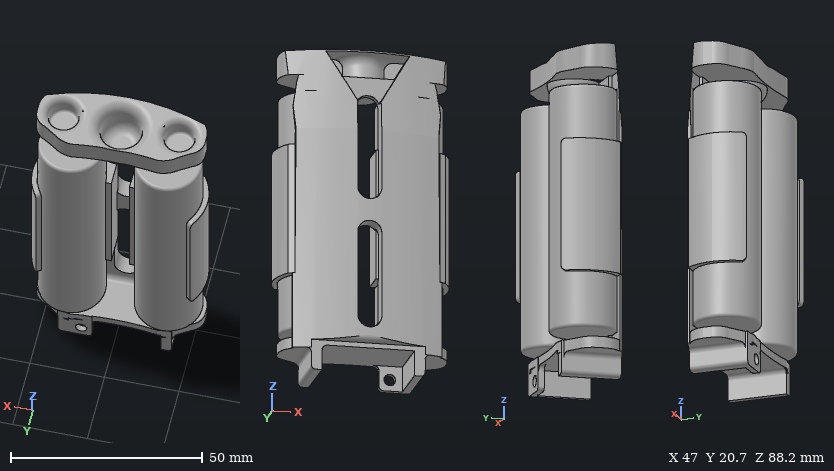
import cadquery as cq
import math

height = 88.2
front_y = -11.7
front_radius = 61.7
lean_angle = 4.6
lean_start_z = 65.9
lean_slope = math.tan(math.radians(lean_angle))
top_front_y = front_y + (height - lean_start_z) * lean_slope
far = 132.2

battery_diameter = 18.0
battery_length = 65.0
battery_edge_radius = 0.9
battery_x = 13.0
battery_radius = battery_diameter / 2
battery_bottom_z = (height - battery_length) / 2

plate_edge_y = -7.8
web_y = -6.9
web_fillet = 1.8
plate_bottom_z = 8.1
plate_bottom_radius = 1.6
plate_flare_z = 72.3
plate_foot_half_width = 20.0
plate_lower_half_width = 19.4
plate_waist_half_width = 19.1
plate_flare_half_width = 19.75
plate_top_half_width = 18.4

slot_width = 6.35
slot_length = 29.1
slot_spacing = 35.1

cradle_height = 35.3
cradle_bottom_z = (height - cradle_height) / 2
cradle_half_width = 23.495
cradle_bend_radius = 14.1
cradle_wall = cradle_half_width - battery_x - battery_radius
arm_tip_y = 8.5
arm_tip_inner_y = 7.6
arm_corner_radius = 1.3
cradle_gap = 2 * (battery_x - battery_radius - cradle_wall)

end_half_width = 22.6
end_corner_y = -2.9
end_side_back_y = -0.4
end_hollow_y = 6.3
end_lobe_x = 11.55
end_lobe_y = 7.05
end_hollow_radius = 84.5
cap_bottom_z = 81.0
base_bottom_z = 6.0
base_top_z = 9.0
base_front_y = -9.7
base_relief = 0.8

cup_y = -0.84
main_cup_diameter = 11.0
main_cup_depth = 9.35
main_cup_mouth_radius = 3.1
main_cup_floor_radius = 2.9
main_boss_diameter = 14.1
main_boss_floor = 1.0
cup_wall = 0.5
side_cup_x = 15.5
side_cup_y = -1.4
side_cup_diameter = 8.0
side_cup_depth = 5.1
side_cup_mouth_radius = 2.07
side_cup_floor_radius = 0.8

leg_outer_x = 15.25
leg_inner_x = 12.3
leg_back_y = 6.7
leg_corner_radius = 1.15
leg_root_radius = 1.4
tab_inner_x = 6.1
tab_thickness = 1.8
tab_hole_diameter = 3.0
tab_hole_x = 9.0
tab_hole_z = 3.1

window_top_half_width = 11.55
window_bottom_half_width = 3.2
window_bottom_z = 74.05
window_back_y = -3.5


def make_battery(x):
    """A plain cylindrical cell with rounded ends."""
    cell = cq.Workplane("XY", origin=(x, 0, battery_bottom_z)).circle(battery_radius)
    return cell.extrude(battery_length).edges().fillet(battery_edge_radius)


def box(x_min, x_max, y_min, y_max, z_min, z_max):
    """A box given by its limits along each axis."""
    size = (x_max - x_min, y_max - y_min, z_max - z_min)
    return cq.Workplane("XY").box(*size, centered=False).translate((x_min, y_min, z_min))


def tilt(shape, pivot_y, pivot_z):
    """Lean a shape back about a line along X."""
    return shape.rotate((0, pivot_y, pivot_z), (-1, pivot_y, pivot_z), lean_angle)


def make_envelope():
    """The space behind the bowed front and below the sloping top."""
    bow = cq.Workplane("XY", origin=(0, front_y + front_radius, -far / 2))
    straight = bow.circle(front_radius).extrude(2 * far)
    leaning = tilt(straight, front_y, lean_start_z)
    under_top = tilt(box(-far, far, -far, far, -far, height), top_front_y, height)
    return straight.intersect(leaning).intersect(under_top)


def edge_box(x, y, z):
    """Selects an edge whose middle lies close to a point."""
    return cq.selectors.BoxSelector((x - 0.1, y - 0.1, z - 0.1), (x + 0.1, y + 0.1, z + 0.1))


def make_foot_trim():
    """The space in front of the legs, which rounds off the lower edge of the front plate."""
    outline = (
        cq.Workplane("YZ", origin=(-leg_outer_x, 0, 0))
        .moveTo(base_front_y, -far)
        .lineTo(base_front_y, plate_bottom_z)
        .lineTo(front_y + plate_bottom_radius, plate_bottom_z)
        .radiusArc((front_y, plate_bottom_z + plate_bottom_radius), plate_bottom_radius)
        .lineTo(-far, plate_bottom_z + plate_bottom_radius)
        .lineTo(-far, -far)
        .close()
    )
    return outline.extrude(2 * leg_outer_x)


def make_plate():
    """The front plate, wider at its foot and flared near the top, with a thicker middle web."""
    right_side = [
        (plate_foot_half_width, base_bottom_z),
        (plate_foot_half_width, cradle_bottom_z),
        (plate_lower_half_width, cradle_bottom_z),
        (plate_waist_half_width, lean_start_z),
        (plate_flare_half_width, plate_flare_z),
        (plate_top_half_width, cap_bottom_z),
        (plate_top_half_width, height),
    ]
    left_side = [(-x, z) for x, z in reversed(right_side)]
    face = cq.Workplane("XZ", origin=(0, plate_edge_y, 0)).polyline(right_side + left_side).close()
    plate = face.extrude(far)
    web = box(-battery_x, battery_x, plate_edge_y, web_y, base_bottom_z, cap_bottom_z)
    return plate.union(web)


def make_end_plate(bottom_z, top_z):
    """A plate across the ends of both batteries, with a shallow hollow along its back."""
    right_half = (
        cq.Workplane("XY", origin=(0, 0, bottom_z))
        .moveTo(0, end_hollow_y)
        .radiusArc((end_lobe_x, end_lobe_y), -end_hollow_radius)
        .threePointArc((14.2, 6.5), (16.5, 5.2))
        .lineTo(19.75, 3.2)
        .threePointArc((21.9, 1.5), (end_half_width, end_side_back_y))
        .lineTo(end_half_width, end_corner_y)
        .threePointArc((21.7, -5.7), (plate_flare_half_width, plate_edge_y))
        .lineTo(plate_flare_half_width, 2 * front_y)
        .lineTo(0, 2 * front_y)
        .close()
        .extrude(top_z - bottom_z)
    )
    return right_half.union(right_half.mirror("YZ"))


def make_cradle():
    """The right cradle: a springy outer arm that flares off the battery, and a straight inner wall."""
    bend_x = cradle_half_width - cradle_bend_radius
    inner_bend = cradle_bend_radius - cradle_wall

    def arm_point(radius, y):
        return (bend_x + math.sqrt(radius**2 - y**2), y)

    profile = (
        cq.Workplane("XY", origin=(0, 0, cradle_bottom_z))
        .moveTo(cradle_gap / 2, plate_edge_y)
        .lineTo(cradle_gap / 2, 0)
        .lineTo(battery_x + battery_radius, 0)
        .threePointArc(arm_point(inner_bend, arm_tip_inner_y / 2), arm_point(inner_bend, arm_tip_inner_y))
        .lineTo(*arm_point(cradle_bend_radius, arm_tip_y))
        .threePointArc(arm_point(cradle_bend_radius, arm_tip_y / 2), (cradle_half_width, 0))
        .threePointArc((22.8, -4.05), (21.1, -7.7))
        .lineTo(19.4, -8.55)
        .lineTo(17.6, plate_edge_y)
        .close()
    )
    cradle = profile.extrude(cradle_height)
    tip = cq.selectors.BoxSelector(
        (17.6, arm_tip_inner_y - 0.4, cradle_bottom_z - 0.9),
        (22, arm_tip_y + 0.4, cradle_bottom_z + cradle_height + 0.9),
    )
    return cradle.edges(tip).edges("#Z").fillet(arm_corner_radius)


def make_cup(diameter, depth, floor_radius):
    """A plug hanging below the origin with a rounded lower edge."""
    plug = cq.Workplane("XY").circle(diameter / 2).extrude(-depth)
    return plug.faces("<Z").edges().fillet(floor_radius)


def make_mouth(diameter, radius):
    """The flared, rounded mouth at the top of a cup."""
    bore = diameter / 2
    flare = (
        cq.Workplane("XZ")
        .lineTo(bore + radius, 0)
        .radiusArc((bore, -radius), -radius)
        .lineTo(0, -radius)
        .close()
    )
    return flare.revolve(360, (0, 0, 0), (0, 1, 0))


def place_in_cap(shape, x, y):
    """Stand a cup shape square to the sloping top face."""
    top_z = height - (y - top_front_y) * lean_slope
    return tilt(shape, 0, 0).translate((x, y, top_z))


def make_front_window():
    """A tapered recess in the upper front that bares the wall of the main cup under a thin top."""
    taper = (
        cq.Workplane("XZ")
        .polyline([
            (-window_top_half_width, height),
            (-window_bottom_half_width, window_bottom_z),
            (window_bottom_half_width, window_bottom_z),
            (window_top_half_width, height),
        ])
        .close()
        .extrude(far)
    )
    above_cap_floor = box(-far, far, -far, window_back_y, cap_bottom_z, height)
    below_cap_floor = box(-far, far, -far, plate_edge_y - 0.9, window_bottom_z, cap_bottom_z)
    under_top = place_in_cap(box(-far, far, -far, far, -far, -cup_wall), 0, 0)
    window = taper.intersect(above_cap_floor.union(below_cap_floor)).intersect(under_top)
    wall_diameter = main_cup_diameter + 2 * cup_wall
    wall = make_cup(wall_diameter, main_cup_depth + main_boss_floor, main_cup_floor_radius)
    wall_flare = make_mouth(wall_diameter, main_cup_mouth_radius - cup_wall).translate((0, 0, -cup_wall))
    return window.cut(place_in_cap(wall.union(wall_flare), 0, cup_y))


def cut_cups(holder):
    """Add the boss under the cap and sink the three contact cups."""
    boss_depth = main_cup_depth + main_boss_floor
    boss = make_cup(main_boss_diameter, boss_depth, main_cup_floor_radius + main_boss_floor)
    below_cap = box(-far, far, -far, far, 0, cap_bottom_z)
    holder = holder.union(place_in_cap(boss, 0, cup_y).intersect(below_cap))
    main_cup = make_cup(main_cup_diameter, main_cup_depth, main_cup_floor_radius)
    main_cup = main_cup.union(make_mouth(main_cup_diameter, main_cup_mouth_radius))
    holder = holder.cut(place_in_cap(main_cup, 0, cup_y))
    side_cup = make_cup(side_cup_diameter, side_cup_depth, side_cup_floor_radius)
    side_cup = side_cup.union(make_mouth(side_cup_diameter, side_cup_mouth_radius))
    for x in (-side_cup_x, side_cup_x):
        holder = holder.cut(place_in_cap(side_cup, x, side_cup_y))
    return holder


def make_legs():
    """Two side legs under the base, one of them carrying a pierced tab at the back."""
    def leg(inner_x, outer_x):
        return box(inner_x, outer_x, base_front_y, leg_back_y, 0, base_top_z)

    left = leg(-leg_outer_x, -leg_inner_x).edges("|Y and <X and <Z").fillet(leg_corner_radius)
    right = leg(leg_inner_x, leg_outer_x).edges("|Y and >X and <Z").fillet(leg_corner_radius)
    tab = box(tab_inner_x, leg_inner_x, leg_back_y - tab_thickness, leg_back_y, 0, base_top_z)
    tab = tab.edges("|Y and <X and <Z").fillet(leg_corner_radius)
    hole = cq.Workplane("XZ", origin=(tab_hole_x, leg_back_y, tab_hole_z)).circle(tab_hole_diameter / 2)
    return left.union(right).union(tab).cut(hole.extrude(tab_thickness))


def make_leg_roots():
    """Concave fillets where the legs and the tab leave the base, kept inside the base outline."""
    outer_z = base_bottom_z
    inner_z = base_bottom_z + base_relief
    corners = [
        (-leg_outer_x, outer_z, -1),
        (leg_outer_x, outer_z, 1),
        (-leg_inner_x, inner_z, 1),
        (tab_inner_x, inner_z, -1),
    ]
    sketch = cq.Workplane("XZ", origin=(0, leg_back_y, 0))
    for x, z, side in corners:
        sketch = (
            sketch.moveTo(x, z)
            .lineTo(x, z - leg_root_radius)
            .radiusArc((x + side * leg_root_radius, z), side * leg_root_radius)
            .close()
        )
    roots = sketch.extrude(leg_back_y - base_front_y)
    behind_tab = box(0, leg_inner_x, base_front_y, leg_back_y - tab_thickness, 0, base_top_z)
    return roots.cut(behind_tab).intersect(make_end_plate(0, base_top_z)).intersect(make_envelope())


def make_slots():
    """Two upright round-ended slots, one above the other."""
    slots = cq.Workplane("XZ", origin=(0, web_y, height / 2)).rarray(0.9, slot_spacing, 1, 2)
    return slots.slot2D(slot_length, slot_width, 90).extrude(far)


def make_holder():
    """The whole holder, with the seats for both batteries cut last."""
    holder = make_plate()
    holder = holder.union(make_end_plate(cap_bottom_z, height))
    base = make_end_plate(base_bottom_z, base_top_z)
    relief = box(-leg_inner_x, leg_inner_x, -far, far, base_bottom_z, base_bottom_z + base_relief)
    holder = holder.union(base)
    holder = holder.edges(edge_box(0, web_y, base_top_z)).fillet(web_fillet).cut(relief)
    holder = holder.intersect(make_envelope())
    holder = holder.cut(make_foot_trim()).cut(make_slots()).cut(make_front_window())
    cradle = make_cradle()
    holder = holder.union(cradle).union(cradle.mirror("YZ"))
    holder = holder.union(make_legs())
    holder = holder.union(make_leg_roots())
    holder = cut_cups(holder)
    for x in (-battery_x, battery_x):
        seat = cq.Workplane("XY", origin=(x, 0, battery_bottom_z)).circle(battery_radius)
        holder = holder.cut(seat.extrude(battery_length))
    return holder


batteries = [make_battery(x) for x in (-battery_x, battery_x)]
holder = make_holder()

result = cq.Compound.makeCompound([holder.val(), *[battery.val() for battery in batteries]])